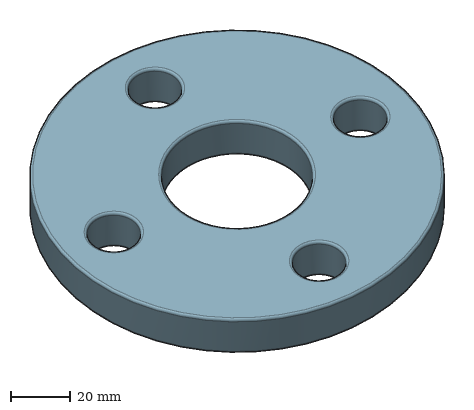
import cadquery as cq

outer_diameter = 140.0
thickness = 16.0
bore_diameter = 51.0
bolt_circle_diameter = 100.0
bolt_hole_diameter = 18.0
bolt_hole_count = 4
edge_radius = 1.0


def make_disc():
    """Plain round plate centred on the Z axis, resting on Z = 0."""
    return cq.Workplane("XY").circle(outer_diameter / 2).extrude(thickness)


def cut_bore(body):
    """Cut the central through bore."""
    return body.faces(">Z").workplane().hole(bore_diameter)


def cut_bolt_holes(body):
    """Cut equally spaced through holes, the first one on the +X axis."""
    return (
        body.faces(">Z")
        .workplane()
        .polarArray(bolt_circle_diameter / 2, 0, 360, bolt_hole_count)
        .hole(bolt_hole_diameter)
    )


def round_edges(body):
    """Round every circular edge on the top and bottom faces."""
    return body.faces("|Z").edges().fillet(edge_radius)


result = round_edges(cut_bolt_holes(cut_bore(make_disc())))